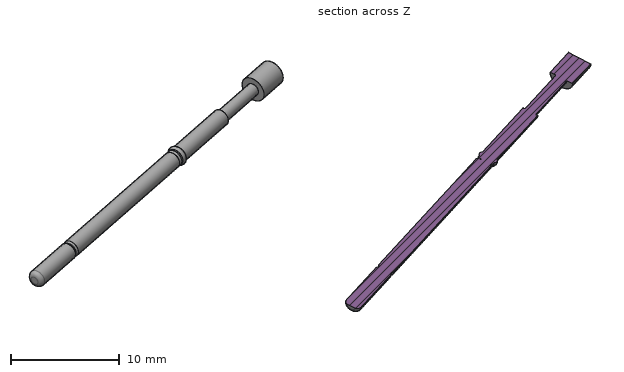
import cadquery as cq

length = 37.0
head_y = length / 2

head_radius = 1.25
head_length = 3.0
stem_radius = 0.63
plunger_length = 7.95

barrel_diameter = 1.65
barrel_radius = barrel_diameter / 2
tip_flat_diameter = 0.78
tip_fillet = (barrel_diameter - tip_flat_diameter) / 2

ring_diameter = 1.95
ring_radius = ring_diameter / 2
ring_distance = 14.8
ring_width = 0.48

groove_depth = 0.1
ring_groove = (15.2, 15.43, 15.55)
crimp_groove = (31.3, 31.52, 31.75)


def cylinder(radius, start, end):
    """Cylinder on the Y axis between two distances from the head face."""
    return (
        cq.Workplane("XZ", origin=(0, head_y - start, 0))
        .circle(radius)
        .extrude(end - start)
    )


def v_groove(first_rim, bottom, second_rim):
    """Ring-shaped cutter with a triangular section."""
    return (
        cq.Workplane("XY")
        .moveTo(barrel_radius, head_y - first_rim)
        .lineTo(barrel_radius - groove_depth, head_y - bottom)
        .lineTo(barrel_radius, head_y - second_rim)
        .close()
        .revolve(360, (0, 0, 0), (0, 1, 0))
    )


def press_ring():
    """Ring of elliptical section, centred on the barrel surface."""
    return (
        cq.Workplane("XY")
        .center(barrel_radius, head_y - ring_distance)
        .ellipse(ring_radius - barrel_radius, ring_width / 2)
        .revolve(360, (-barrel_radius, 0, 0), (-barrel_radius, 1, 0))
    )


head = cylinder(head_radius, 0, head_length)
stem = cylinder(stem_radius, head_length, plunger_length)

barrel = cylinder(barrel_radius, plunger_length, length)
barrel = barrel.faces("<Y").edges().fillet(tip_fillet)
for groove in (ring_groove, crimp_groove):
    barrel = barrel.cut(v_groove(*groove))
barrel = barrel.union(press_ring())

result = head.union(stem).union(barrel)